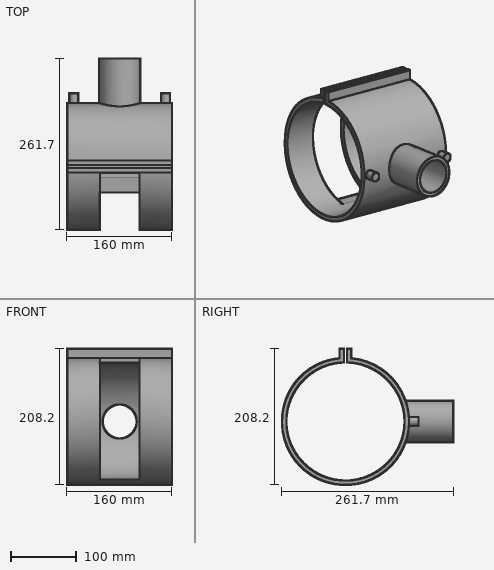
import cadquery as cq

ring_length = 160.0
ring_outer_radius = 97.0
wall = 7.0
ring_inner_radius = ring_outer_radius - wall

slit_width = 4.0
flange_thickness = 7.2
flange_top_z = 111.21
flange_pair_width = slit_width + 2 * flange_thickness

window_width = 60.0
window_back_y = -10.1
window_floor_z = -88.35

pipe_outer_diameter = 63.5
pipe_bore_diameter = 51.5
pipe_end_y = 164.74

pin_diameter = 14.0
pin_end_y = 111.7
pin_edge_distance = 10.0
pin_x = ring_length / 2 - pin_edge_distance


def cylinder_along_x(radius):
    return cq.Workplane("YZ", origin=(-ring_length / 2, 0, 0)).circle(radius).extrude(ring_length)


def cylinder_along_y(diameter, end_y, x=0.0):
    """Cylinder from the ring axis out to end_y on the +Y side."""
    return cq.Workplane("XZ").center(x, 0).circle(diameter / 2).extrude(-end_y)


def slab_above_axis(width_y):
    """Full-length block from the ring axis up to the flange tops."""
    return cq.Workplane("XY").rect(ring_length, width_y).extrude(flange_top_z)


def window_cutter():
    """Block with a flat floor and a flat back, open towards -Y."""
    return cq.Workplane("XY").box(
        window_width,
        ring_outer_radius + window_back_y,
        ring_outer_radius - window_floor_z,
        centered=(True, False, False),
    ).translate((0, -ring_outer_radius, window_floor_z))


body = cylinder_along_x(ring_outer_radius)
body = body.union(slab_above_axis(flange_pair_width))
body = body.union(cylinder_along_y(pipe_outer_diameter, pipe_end_y))
for x in (-pin_x, pin_x):
    body = body.union(cylinder_along_y(pin_diameter, pin_end_y, x))

body = body.cut(cylinder_along_x(ring_inner_radius))
body = body.cut(slab_above_axis(slit_width))
body = body.cut(cylinder_along_y(pipe_bore_diameter, pipe_end_y))
body = body.cut(window_cutter())

result = body